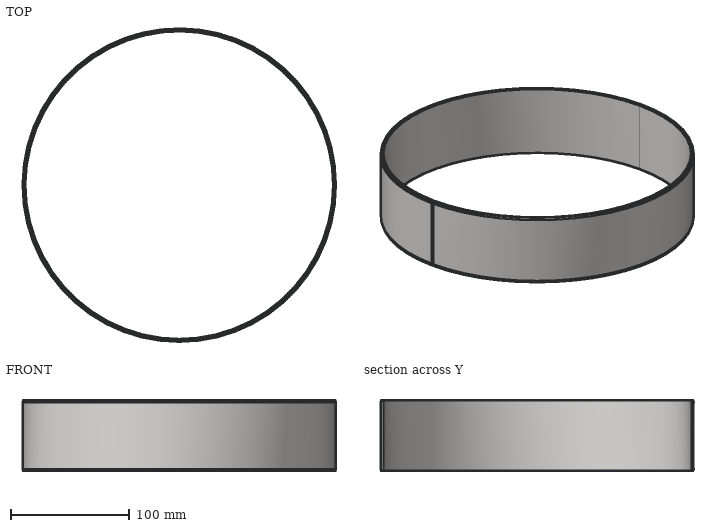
import cadquery as cq

outer_diameter = 265.0
height = 60.0
wall = 2.5
outer_bevel_height = 1.8
outer_bevel_depth = 0.65
inner_bevel_height = 0.5
inner_bevel_depth = 0.35
gap_width = 2.0
gap_start = 0.0

outer_radius = outer_diameter / 2
inner_radius = outer_radius - wall
outer_rim_radius = outer_radius - outer_bevel_depth
inner_rim_radius = inner_radius + inner_bevel_depth


def ring():
    """Full ring: the wall section, bevelled at all four corners, revolved about Z."""
    section = [
        (inner_rim_radius, 0),
        (outer_rim_radius, 0),
        (outer_radius, outer_bevel_height),
        (outer_radius, height - outer_bevel_height),
        (outer_rim_radius, height),
        (inner_rim_radius, height),
        (inner_radius, height - inner_bevel_height),
        (inner_radius, inner_bevel_height),
    ]
    profile = cq.Workplane("XZ").polyline(section).close()
    return profile.revolve(360, (0, 0, 0), (0, 1, 0))


def slit():
    """Block that cuts through the wall on the -X side only."""
    block = cq.Workplane("XY").box(outer_radius, gap_width, height, centered=False)
    return block.translate((-outer_radius, gap_start, 0))


result = ring().cut(slit())